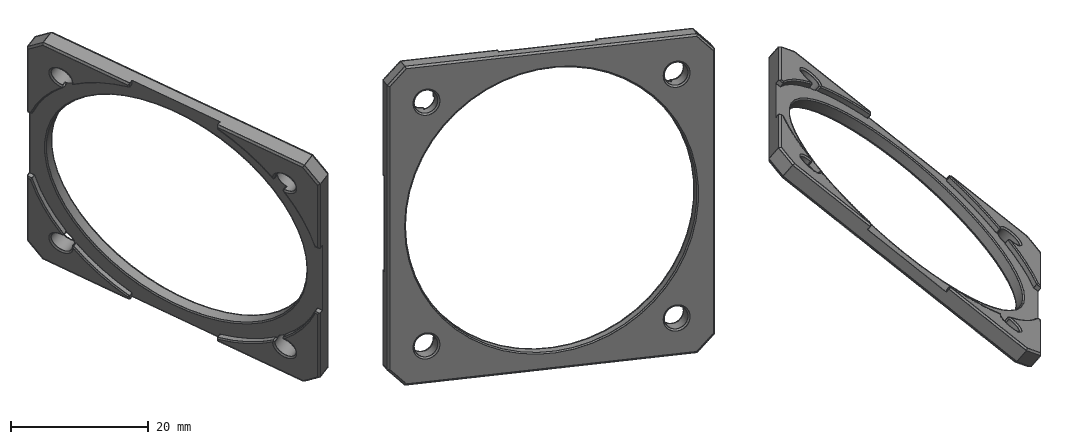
import cadquery as cq
import math

side = 49.8
thickness = 2.8
corner_cut = 2.7
edge_chamfer = 0.3

bore_radius = 22.15
bore_chamfer = 0.2

hole_radius = 1.8
hole_offset = 19.0
hole_chamfer = 0.25
notch_width = 2.3

recess_depth = 0.9
recess_radius = 25.2
gap_half_width = 7.45
pad_chamfer = 0.2

front_y = -thickness / 2
back_y = thickness / 2
floor_y = front_y + recess_depth


def plane_at(y, x=0, z=0):
    """Sketch plane at depth y whose normal points to the back (+Y)."""
    return cq.Workplane(cq.Plane(origin=(x, y, z), xDir=(1, 0, 0), normal=(0, 1, 0)))


def countersink(x, z, face_y, radius, chamfer, inward=1):
    """Cone that chamfers the rim of a round opening; inward is the Y direction into the part."""
    rim = plane_at(face_y, x, z).circle(radius + chamfer)
    return rim.workplane(offset=inward * chamfer).circle(radius).loft(ruled=True)


def frame_blank():
    """Plate with cut corners and chamfered front and back outlines."""
    plate = cq.Workplane("XY").box(side, thickness, side)
    plate = plate.edges("|Y").chamfer(corner_cut)
    return plate.faces("<Y or >Y").edges().chamfer(edge_chamfer)


def gap_cutter():
    """Straight recess along Z between neighbouring pads, flared at the front."""
    flared_half_width = gap_half_width + pad_chamfer
    chamfer_y = front_y + pad_chamfer
    section = [
        (-flared_half_width, front_y),
        (flared_half_width, front_y),
        (gap_half_width, chamfer_y),
        (gap_half_width, floor_y),
        (-gap_half_width, floor_y),
        (-gap_half_width, chamfer_y),
    ]
    return cq.Workplane("XY").polyline(section).close().extrude(side / 2, both=True)


def notch_cutter():
    """Slot along X from the bore to a screw hole centre, trimming the thin pad tips there."""
    hole_distance = math.hypot(hole_offset, hole_offset)
    slot_length = hole_distance - bore_radius
    slot = cq.Workplane("XY").box(slot_length, recess_depth, notch_width)
    return slot.translate(((hole_distance + bore_radius) / 2, (front_y + floor_y) / 2, 0))


result = frame_blank()

result = result.cut(plane_at(front_y).circle(recess_radius).extrude(recess_depth))
result = result.cut(countersink(0, 0, front_y, recess_radius, pad_chamfer))
for turn in (0, 90):
    result = result.cut(gap_cutter().rotate((0, 0, 0), (0, 1, 0), turn))

bore = plane_at(floor_y).circle(bore_radius).extrude(back_y - floor_y)
result = result.cut(bore)
result = result.cut(countersink(0, 0, floor_y, bore_radius, bore_chamfer))
result = result.cut(countersink(0, 0, back_y, bore_radius, bore_chamfer, inward=-1))

for x in (-hole_offset, hole_offset):
    for z in (-hole_offset, hole_offset):
        result = result.cut(plane_at(front_y, x, z).circle(hole_radius).extrude(thickness))
        result = result.cut(countersink(x, z, front_y, hole_radius, hole_chamfer))
        result = result.cut(countersink(x, z, back_y, hole_radius, hole_chamfer, inward=-1))
for turn in (45, 135, 225, 315):
    result = result.cut(notch_cutter().rotate((0, 0, 0), (0, 1, 0), turn))